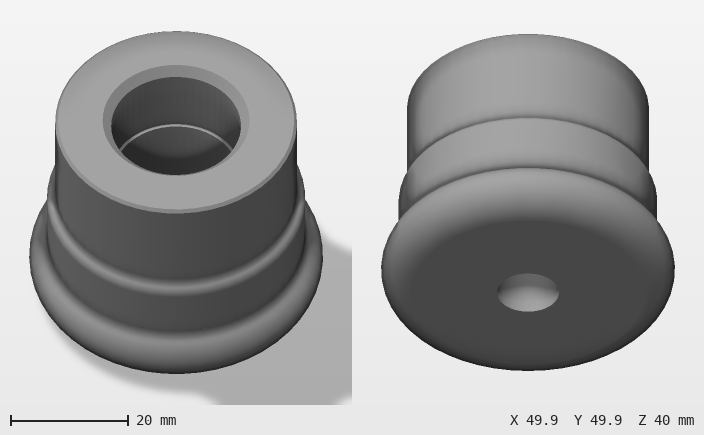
import cadquery as cq
import math

bead_diameter = 49.85
total_height = 40.0

collar_diameter = 43.85
neck_diameter = 41.0
collar_top = 19.6
shoulder_height = 3.0
top_edge_size = 0.5

bore_diameter = 22.05
bore_mouth_diameter = 24.9
ledge_depth = 13.6
lower_bore_diameter = 20.95
through_diameter = 10.5

bead_radius = 5.0
blend_radius = 2.0

collar_radius = collar_diameter / 2
neck_radius = neck_diameter / 2
through_radius = through_diameter / 2

bead_center = (bead_diameter / 2 - bead_radius, bead_radius)
blend_run = collar_radius + blend_radius - bead_center[0]
blend_rise = math.sqrt((bead_radius + blend_radius) ** 2 - blend_run**2)
blend_center = (bead_center[0] + blend_run, bead_center[1] + blend_rise)

split_height = blend_center[1]


def arc_point(center, radius, angle):
    """Point at the given angle in radians on a circle in the profile plane."""
    return (center[0] + radius * math.cos(angle), center[1] + radius * math.sin(angle))


def revolve_about_z(profile):
    """Close a radius-height profile and turn it a full revolution about Z."""
    return profile.close().revolve(360, (0, 0, 0), (0, 1, 0))


def make_housing():
    """Stepped sleeve with an S-shaped shoulder and a stepped bore down to the base."""
    step = collar_radius - neck_radius
    half_height = shoulder_height / 2
    shoulder_radius = (step**2 + shoulder_height**2) / (4 * step)
    half_turn = math.asin(half_height / shoulder_radius) / 2
    lower_center = (collar_radius - shoulder_radius, collar_top)
    upper_center = (neck_radius + shoulder_radius, collar_top + shoulder_height)
    shoulder_middle = ((collar_radius + neck_radius) / 2, collar_top + half_height)

    outside = (
        cq.Workplane("XZ")
        .moveTo(0, split_height)
        .lineTo(collar_radius, split_height)
        .lineTo(collar_radius, collar_top)
        .threePointArc(arc_point(lower_center, shoulder_radius, half_turn), shoulder_middle)
        .threePointArc(
            arc_point(upper_center, shoulder_radius, math.pi + half_turn),
            (neck_radius, collar_top + shoulder_height),
        )
        .lineTo(neck_radius, total_height)
        .lineTo(0, total_height)
    )
    sleeve = revolve_about_z(outside).faces(">Z").edges().chamfer(top_edge_size)
    return sleeve.cut(make_bore())


def make_bore():
    """Cutter for the bore, with its mouth chamfer and the narrow ledge inside."""
    bore_radius = bore_diameter / 2
    mouth_radius = bore_mouth_diameter / 2
    mouth_depth = mouth_radius - bore_radius
    lower_radius = lower_bore_diameter / 2
    ledge_height = total_height - ledge_depth
    profile = (
        cq.Workplane("XZ")
        .moveTo(0, split_height)
        .lineTo(lower_radius, split_height)
        .lineTo(lower_radius, ledge_height)
        .lineTo(bore_radius, ledge_height)
        .lineTo(bore_radius, total_height - mouth_depth)
        .lineTo(mouth_radius, total_height)
        .lineTo(0, total_height)
    )
    return revolve_about_z(profile)


def make_base():
    """Flat-bottomed bead that carries the housing, with a central through hole."""
    meeting_angle = math.atan2(blend_rise, blend_run)
    meeting_point = arc_point(bead_center, bead_radius, meeting_angle)
    blend_middle_angle = math.pi + meeting_angle / 2

    profile = (
        cq.Workplane("XZ")
        .moveTo(through_radius, 0)
        .lineTo(bead_center[0], 0)
        .threePointArc((bead_diameter / 2, bead_radius), meeting_point)
        .threePointArc(
            arc_point(blend_center, blend_radius, blend_middle_angle),
            (collar_radius, split_height),
        )
        .lineTo(through_radius, split_height)
    )
    return revolve_about_z(profile)


housing = make_housing()
base = make_base()
result = cq.Compound.makeCompound([housing.val(), base.val()])